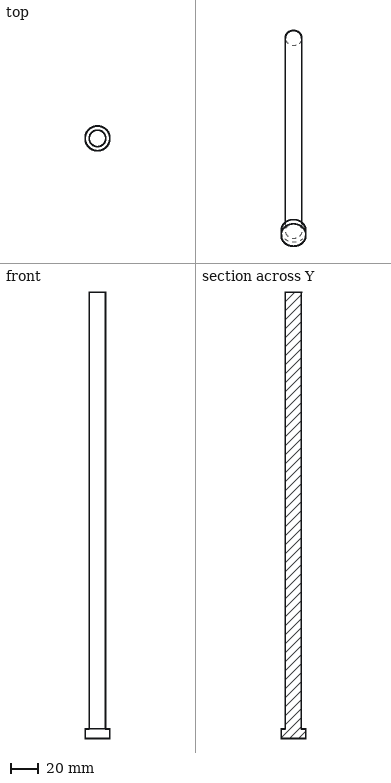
import cadquery as cq

total_length = 322.0
head_diameter = 18.0
head_height = 7.0
shank_diameter = 12.0

head = cq.Workplane("XY").circle(head_diameter / 2).extrude(head_height)

shank_length = total_length - head_height
shank = head.faces(">Z").workplane().circle(shank_diameter / 2).extrude(shank_length)

result = shank